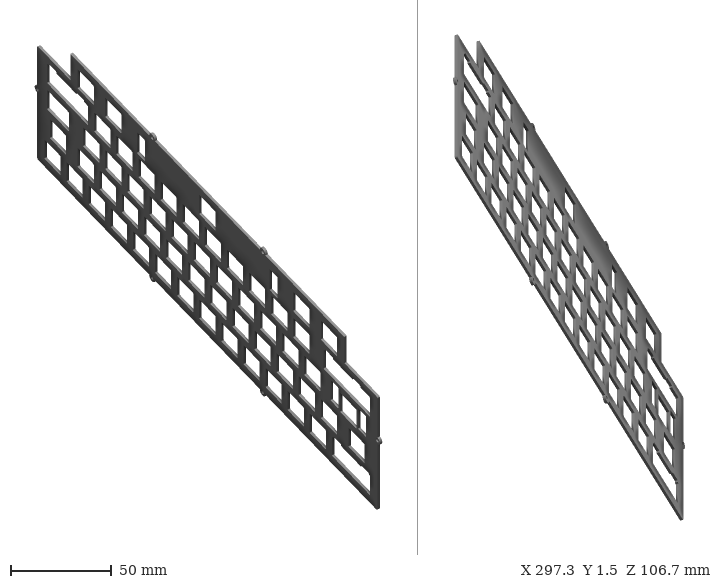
import cadquery as cq

overall_length = 297.3
overall_height = 106.7
thickness = 1.5
plate_length = 293.2
plate_corner_radius = 1.0

units_wide = 15
rows_high = 5
frame_allowance_x = 7.5
frame_allowance_z = 6.2
pitch = (plate_length - frame_allowance_x) / units_wide
plate_height = rows_high * pitch + frame_allowance_z
notch_units = 1.5

key_size = 14.0
corner_radius = 0.5
stabilizer_half_span = 12.0
slot_width = 6.8
slot_height = 15.2
slot_offset = 1.8
space_bar_half_span = 3 * pitch
relief_rise = 1.2

eyelet_diameter = 4.8
eyelet_hole_diameter = 2.2
eyelet_x = 2.5 * pitch

slotted_key = 6.375

single_keys = {
    2: [-5.5, -4.25, 0, 4.25, 5.5],
    1: [-4.75 + i for i in range(10)],
    0: [-5.25 + i for i in range(11)] + [slotted_key],
    -1: [-6.75] + [-5.5 + i for i in range(12)] + [6.75],
    -2: [-7 + i for i in range(13)],
}

wide_keys = [
    (1, -6.875, -5.75),
    (1, 5.625, 7),
    (0, -6.875, -6.625),
    (-2, 6, 7),
]

relieved_keys = [
    (1, -6.375),
    (1, 6.125),
    (-2, 6.5),
]


def block(x, z, width, height):
    """Plate-thick block centred at (x, z)."""
    return cq.Workplane("XY").box(width, thickness, height).translate((x, 0, z))


def opening(x, z, width, height):
    """Cutter for a rectangular opening with rounded corners."""
    return block(x, z, width, height).edges("|Y").fillet(corner_radius)


def disc(x, z, diameter):
    """Plate-thick disc centred at (x, z)."""
    workplane = cq.Workplane("XZ", origin=(x, 0, z))
    return workplane.circle(diameter / 2).extrude(thickness / 2, both=True)


def plate_blank():
    """Plate with both upper corners stepped down by one row."""
    blank = block(0, 0, plate_length, plate_height)
    step_width = notch_units * pitch
    for side in (-1, 1):
        notch_x = side * (plate_length - step_width) / 2
        blank = blank.cut(block(notch_x, (plate_height - pitch) / 2, step_width, pitch))
    outer_corners = blank.edges("|Y").edges("<X or >X")
    return outer_corners.fillet(plate_corner_radius)


def key_openings():
    cutters = []
    for row, keys in single_keys.items():
        for key in keys:
            cutters.append(opening(key * pitch, row * pitch, key_size, key_size))
    for row, first, last in wide_keys:
        width = (last - first) * pitch + key_size
        cutters.append(opening((first + last) / 2 * pitch, row * pitch, width, key_size))
    return cutters


def stabilizer_openings():
    cutters = []
    for side in (-1, 1):
        space_bar_z = 2 * pitch - slot_offset
        cutters.append(opening(side * space_bar_half_span, space_bar_z, slot_width, slot_height))
        middle_x = slotted_key * pitch + side * stabilizer_half_span
        cutters.append(opening(middle_x, slot_offset, slot_width, slot_height))
        for row, key in relieved_keys:
            relief_x = key * pitch + side * stabilizer_half_span
            cutters.append(opening(relief_x, row * pitch + relief_rise, slot_width, key_size))
    return cutters


def eyelet_centres():
    reach_x = (overall_length - eyelet_diameter) / 2
    reach_z = (overall_height - eyelet_diameter) / 2
    centres = [(side * reach_x, 0) for side in (-1, 1)]
    for x in (-eyelet_x, eyelet_x):
        for side in (-1, 1):
            centres.append((x, side * reach_z))
    return centres


centres = eyelet_centres()
eyelets = [disc(x, z, eyelet_diameter).val() for x, z in centres]
eyelet_holes = [disc(x, z, eyelet_hole_diameter).val() for x, z in centres]
openings = [cutter.val() for cutter in key_openings() + stabilizer_openings()]

plate = plate_blank().val().fuse(*eyelets).cut(*eyelet_holes, *openings).clean()
result = cq.Workplane("XY").add(plate.Solids()[0])